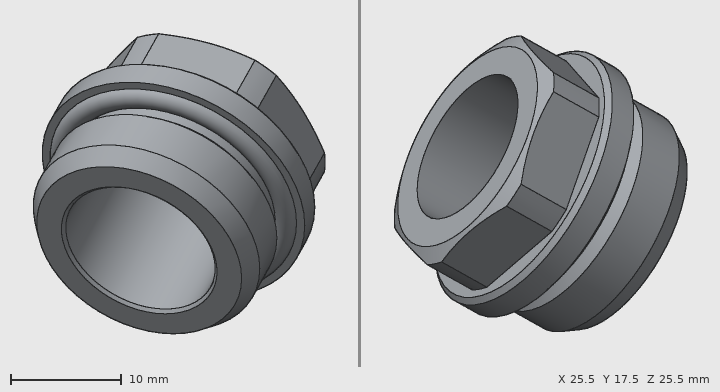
import cadquery as cq
import math

total_length = 17.5
front_y = -total_length / 2
back_y = total_length / 2

thread_diameter = 22.0
tip_diameter = 19.9
tip_chamfer_length = 1.78
thread_end = 6.02
undercut_cone_length = 1.07
neck_diameter = 19.8

flange_diameter = 25.5
flange_front = 8.47
flange_length = 3.0
flange_chamfer = 0.5
ring_diameter = 23.92
ring_projection = 0.92

hex_across_flats = 20.99
hex_corner_diameter = 22.98
hex_face_diameter = 20.1
hex_chamfer_length = 0.76

bore_diameter = 14.5
bore_chamfer = 0.3

flange_back = flange_front + flange_length
hex_length = total_length - flange_back


def revolve_about_y(profile):
    """Turn a closed XY profile into a solid of revolution about the Y axis."""
    return profile.close().revolve(360, (0, 0, 0), (0, 1, 0))


def make_turned_body():
    """Spigot, undercut and flange."""
    thread_radius = thread_diameter / 2
    neck_radius = neck_diameter / 2
    flange_radius = flange_diameter / 2
    thread_back = front_y + thread_end
    profile = (
        cq.Workplane("XY")
        .moveTo(0, front_y)
        .lineTo(tip_diameter / 2, front_y)
        .lineTo(thread_radius, front_y + tip_chamfer_length)
        .lineTo(thread_radius, thread_back)
        .lineTo(neck_radius, thread_back + undercut_cone_length)
        .lineTo(neck_radius, front_y + flange_front)
        .lineTo(flange_radius, front_y + flange_front)
        .lineTo(flange_radius, front_y + flange_back - flange_chamfer)
        .lineTo(flange_radius - flange_chamfer, front_y + flange_back)
        .lineTo(0, front_y + flange_back)
    )
    return revolve_about_y(profile)


def make_sealing_ring():
    """O-ring seated on the neck and partly sunk into the flange face."""
    section_radius = (ring_diameter - neck_diameter) / 4
    section_center_x = neck_diameter / 2 + section_radius
    section_center_y = front_y + flange_front + section_radius - ring_projection
    section = (
        cq.Workplane("XY")
        .center(section_center_x, section_center_y)
        .circle(section_radius)
    )
    return section.revolve(360, (-section_center_x, 0, 0), (-section_center_x, 1, 0))


def make_hexagon():
    """Hexagon with flats facing +Z and -Z, trimmed by a chamfered cylinder."""
    sharp_corner_radius = hex_across_flats / 2 / math.cos(math.radians(30))
    corner_angles = [math.radians(60 * i) for i in range(6)]
    corners = [
        (sharp_corner_radius * math.cos(angle), sharp_corner_radius * math.sin(angle))
        for angle in corner_angles
    ]
    prism = (
        cq.Workplane("XZ", origin=(0, back_y, 0))
        .polyline(corners)
        .close()
        .extrude(hex_length)
    )
    corner_radius = hex_corner_diameter / 2
    envelope = revolve_about_y(
        cq.Workplane("XY")
        .moveTo(0, back_y - hex_length)
        .lineTo(corner_radius, back_y - hex_length)
        .lineTo(corner_radius, back_y - hex_chamfer_length)
        .lineTo(hex_face_diameter / 2, back_y)
        .lineTo(0, back_y)
    )
    return prism.intersect(envelope)


def make_bore():
    """Through bore with a small chamfer at the threaded end."""
    bore_radius = bore_diameter / 2
    profile = (
        cq.Workplane("XY")
        .moveTo(0, front_y)
        .lineTo(bore_radius + bore_chamfer, front_y)
        .lineTo(bore_radius, front_y + bore_chamfer)
        .lineTo(bore_radius, back_y)
        .lineTo(0, back_y)
    )
    return revolve_about_y(profile)


body = make_turned_body().union(make_hexagon()).union(make_sealing_ring())
result = body.cut(make_bore())